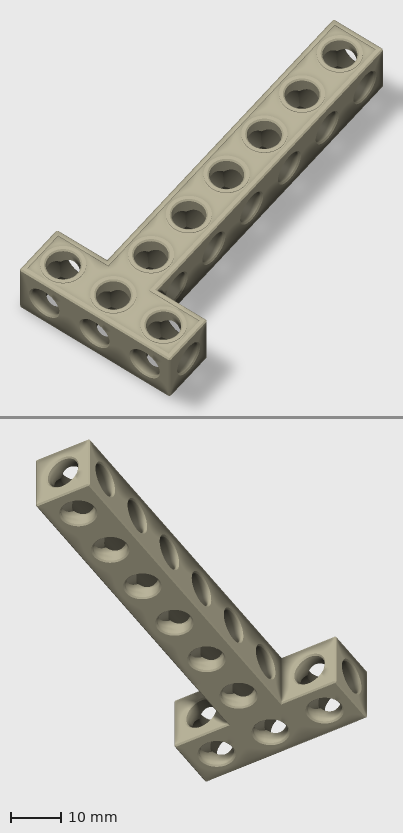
import cadquery as cq

length = 87.5
stem_cells = 7
bar_cells = 3

pitch = length / stem_cells
half_cell = pitch / 2
bar_width = bar_cells * pitch

edge_chamfer = 0.31
hole_diameter = 7.0
hole_chamfer = 0.31
rim_width = 1.1
recess_depth = 0.2
collar_diameter = 9.2

bar_y = half_cell - length / 2
bar_x = [(i - (bar_cells - 1) / 2) * pitch for i in range(bar_cells)]
stem_y = [bar_y + i * pitch for i in range(stem_cells)]
cell_centres = [(x, bar_y) for x in bar_x] + [(0, y) for y in stem_y[1:]]


def tee(bottom, height, inset=0.0):
    """T-shaped slab, with its outline moved inwards by the inset."""
    margin = 2 * inset
    bar = (
        cq.Workplane("XY", origin=(0, bar_y, bottom))
        .rect(bar_width - margin, pitch - margin)
        .extrude(height)
    )
    stem = (
        cq.Workplane("XY", origin=(0, 0, bottom))
        .rect(pitch - margin, length - margin)
        .extrude(height)
    )
    return bar.union(stem)


def chamfered_beam():
    """Solid T with chamfered edges; the two upright inner corners stay sharp."""
    inner_corners = cq.selectors.BoxSelector(
        (-pitch, bar_y, -edge_chamfer),
        (pitch, bar_y + pitch, edge_chamfer),
    )
    outside_edges = cq.selectors.InverseSelector(inner_corners)
    return tee(-half_cell, pitch).edges(outside_edges).chamfer(edge_chamfer)


def top_recess():
    """Cutter for the area inside the border, sparing a collar around each vertical hole."""
    floor = half_cell - recess_depth
    collars = (
        cq.Workplane("XY", origin=(0, 0, floor))
        .pushPoints(cell_centres)
        .circle(collar_diameter / 2)
        .extrude(recess_depth)
    )
    return tee(floor, recess_depth, rim_width).cut(collars)


def through_hole(start, direction, depth):
    """Cutter for a round hole with a chamfered mouth at both ends."""
    radius = hole_diameter / 2
    mouth_radius = radius + hole_chamfer
    half_profile = [
        (0, 0),
        (mouth_radius, 0),
        (radius, hole_chamfer),
        (radius, depth - hole_chamfer),
        (mouth_radius, depth),
        (0, depth),
    ]
    across = cq.Plane(origin=start, normal=direction)
    along = cq.Plane(origin=start, xDir=across.xDir, normal=across.xDir.cross(across.zDir))
    return cq.Workplane(along).polyline(half_profile).close().revolve(360, (0, 0), (0, 1))


result = chamfered_beam().cut(top_recess())

for x, y in cell_centres:
    result = result.cut(through_hole((x, y, -half_cell), (0, 0, 1), pitch))

for x in bar_x:
    depth = length if x == 0 else pitch
    result = result.cut(through_hole((x, -length / 2, 0), (0, 1, 0), depth))

for y in stem_y:
    depth = bar_width if y == bar_y else pitch
    result = result.cut(through_hole((-depth / 2, y, 0), (1, 0, 0), depth))